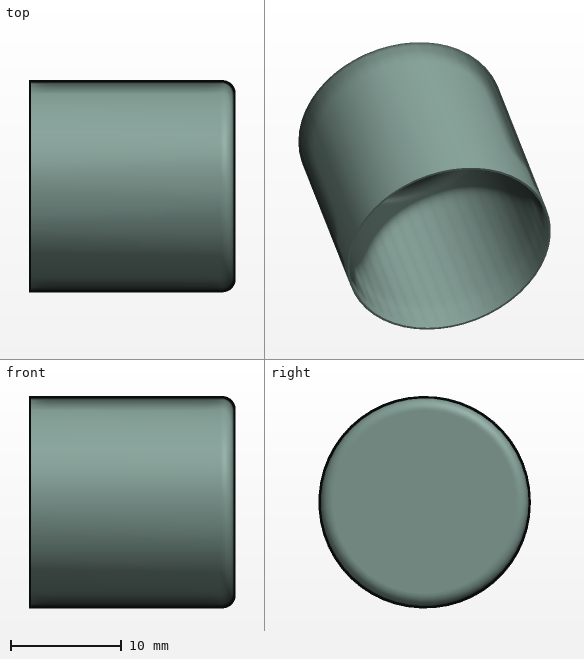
import cadquery as cq

outer_diameter = 19.0
length = 18.5
wall = 0.2
corner_radius = 1.2

outer_radius = outer_diameter / 2
inner_radius = outer_radius - wall
inner_depth = length - wall
inner_corner_radius = corner_radius - wall


def rounded_plug(radius, depth, rounding):
    """Solid cylinder along +X, centred on the X axis, with its far edge rounded."""
    return cq.Workplane("YZ").circle(radius).extrude(depth).faces(">X").edges().fillet(rounding)


body = rounded_plug(outer_radius, length, corner_radius)
cavity = rounded_plug(inner_radius, inner_depth, inner_corner_radius)
result = body.cut(cavity)